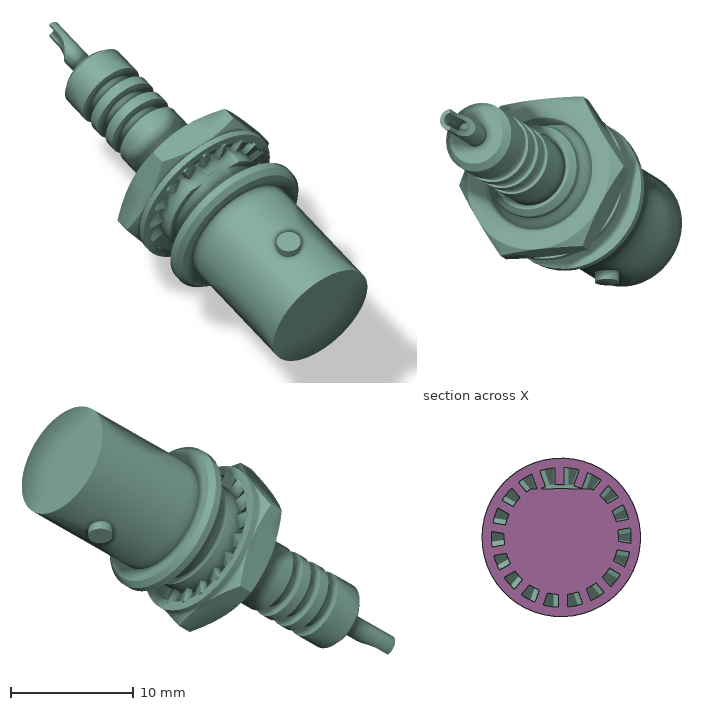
import cadquery as cq
import math

LENGTH = 36.5

pin_dia = 1.8
pin_embed = 0.35
cup_dia = 1.1
cup_depth = 3.15
scoop_flat_end = 1.1
scoop_end = 3.15

ferrule_start = 5.4
ferrule_dia = 5.8
ferrule_tip_dia = 4.7
ferrule_chamfer = 0.47
groove_starts = (8.3, 10.25, 12.23)
groove_width = 1.1
groove_dia = 4.1

collar_start = 16.65
collar_dia = 7.65
collar_tip_dia = 6.7
clearance_dia = 6.15
clearance_depth = 0.35
collar_chamfer = (collar_dia - collar_tip_dia) / 2
thread_start = 17.63
thread_dia = 9.38
thread_lead = (thread_dia - collar_dia) / 2
relief_start = 22.35
relief_end = 23.65
relief_dia = 8.32
flat_height = 3.98

flange_start = 24.6
flange_end = 25.65
flange_dia = 12.7
flange_chamfer = 0.45
shell_dia = 9.67
bayonet_x = 32.23
bayonet_dia = 1.97
bayonet_span = 11.15

nut_start = 18.18
nut_end = 20.55
nut_corner_dia = 14.67
nut_flats = nut_corner_dia * math.cos(math.radians(30))
nut_chamfer = 0.6
nut_bore = 8.6
nut_mouth_dia = 9.55
nut_mouth_depth = (nut_mouth_dia - nut_bore) / 2

washer_start = 20.65
washer_end = 21.17
washer_dia = 13.0
washer_inner_dia = 11.4
tooth_count = 18
tooth_width = 1.1
tooth_thickness = 0.5
tooth_twist = 24.0
tooth_root_overlap = 0.2
key_width = 1.2
key_end = 21.95
key_top = 4.0
key_depth = 0.35


def cylinder(start, end, dia):
    """Solid cylinder along X."""
    return cq.Workplane("YZ", origin=(start, 0, 0)).circle(dia / 2).extrude(end - start)


def turned(profile):
    """Solid of revolution about X from (x, diameter) points."""
    points = [(x, dia / 2) for x, dia in profile]
    outline = [(points[0][0], 0)] + points + [(points[-1][0], 0)]
    return cq.Workplane("XY").polyline(outline).close().revolve(360, (0, 0, 0), (1, 0, 0))


def make_solder_pin():
    pin = cylinder(0, ferrule_start + pin_embed, pin_dia)
    bore = cylinder(0, cup_depth, cup_dia)
    run = scoop_end - scoop_flat_end
    drop = pin_dia / 2
    scoop = (
        cq.Workplane("XY")
        .moveTo(0, 0)
        .lineTo(scoop_flat_end, 0)
        .tangentArcPoint((run, -drop), relative=True)
        .lineTo(scoop_end, -pin_dia)
        .lineTo(0, -pin_dia)
        .close()
        .extrude(pin_dia, both=True)
    )
    return pin.cut(bore).cut(scoop)


def make_ferrule():
    ferrule = turned([
        (ferrule_start, ferrule_tip_dia),
        (ferrule_start + ferrule_chamfer, ferrule_dia),
        (collar_start + collar_chamfer, ferrule_dia),
    ])
    for start in groove_starts:
        end = start + groove_width
        ring = cylinder(start, end, ferrule_dia).cut(cylinder(start, end, groove_dia))
        ferrule = ferrule.cut(ring)
    return ferrule


def make_threaded_body():
    body = turned([
        (collar_start, collar_tip_dia),
        (collar_start + collar_chamfer, collar_dia),
        (thread_start, collar_dia),
        (thread_start + thread_lead, thread_dia),
        (relief_start, thread_dia),
        (relief_start, relief_dia),
        (relief_end, relief_dia),
        (relief_end, thread_dia),
        (flange_start, thread_dia),
    ])
    recess_end = collar_start + clearance_depth
    recess = cylinder(collar_start, recess_end, clearance_dia)
    length = flange_start - collar_start
    above_flat = cq.Workplane("XY", origin=(collar_start, 0, flat_height)).box(
        length, thread_dia, thread_dia, centered=(False, True, False)
    )
    return body.cut(recess).cut(above_flat)


def make_shell():
    shell = turned([
        (flange_start, flange_dia),
        (flange_end - flange_chamfer, flange_dia),
        (flange_end, flange_dia - 2 * flange_chamfer),
        (flange_end, shell_dia),
        (LENGTH, shell_dia),
    ])
    pins = (
        cq.Workplane("XY", origin=(bayonet_x, 0, 0))
        .circle(bayonet_dia / 2)
        .extrude(bayonet_span / 2, both=True)
    )
    return shell.union(pins)


def make_nut():
    hexagon = (
        cq.Workplane("YZ", origin=(nut_start, 0, 0))
        .polygon(6, nut_corner_dia)
        .extrude(nut_end - nut_start)
    )
    chamfers = turned([
        (nut_start, nut_flats),
        (nut_start + nut_chamfer, nut_corner_dia),
        (nut_end - nut_chamfer, nut_corner_dia),
        (nut_end, nut_flats),
    ])
    opening = turned([
        (nut_start, nut_mouth_dia),
        (nut_start + nut_mouth_depth, nut_bore),
        (nut_end, nut_bore),
    ])
    return hexagon.intersect(chamfers).cut(opening)


def make_lock_washer():
    ring = cylinder(washer_start, washer_end, washer_dia)
    washer = ring.cut(cylinder(washer_start, washer_end, washer_inner_dia))
    middle = (washer_start + washer_end) / 2
    tooth_tip = nut_bore / 2
    tooth_length = washer_inner_dia / 2 - tooth_tip
    tooth = (
        cq.Workplane("XY", origin=(middle, 0, tooth_tip))
        .box(tooth_thickness, tooth_width, tooth_length + tooth_root_overlap, centered=(True, True, False))
        .rotate((middle, 0, 0), (middle, 0, 1), tooth_twist)
    )
    for index in range(tooth_count):
        washer = washer.union(tooth.rotate((0, 0, 0), (1, 0, 0), index * 360 / tooth_count))
    return washer


def make_key():
    """Low key standing just proud of the flat, running out from under the washer."""
    return cq.Workplane("XY", origin=(washer_start, 0, key_top - key_depth)).box(
        key_end - washer_start, key_width, key_depth, centered=(False, True, False)
    )


result = (
    make_solder_pin()
    .union(make_ferrule())
    .union(make_threaded_body())
    .union(make_shell())
    .union(make_nut())
    .union(make_lock_washer())
    .union(make_key())
)